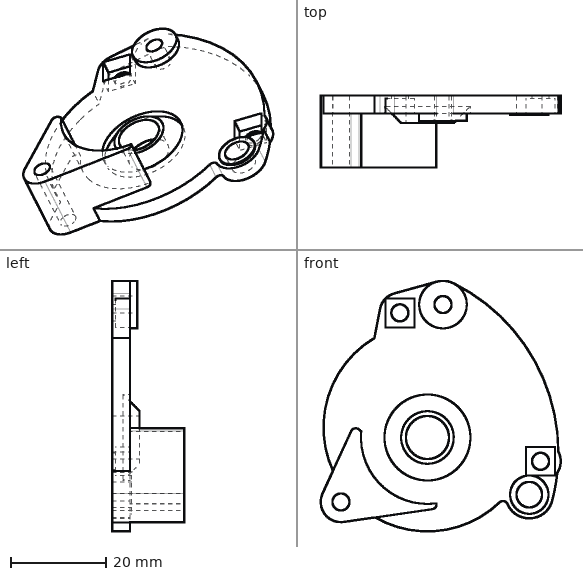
import cadquery as cq
import math


plate_thickness = 3.8
body_center = (0, 2.1)
body_radius = 21.8
sweep_radius = 39.65
lobe_radius = 5.0
notch_fillet = 1.0

upper_boss = (3.25, 27.85)
upper_boss_height = 1.5
lower_boss = (21.3, -11.95)
lower_ring_diameter = 8.05
lower_ring_height = 0.3
lower_hole_diameter = 5.3
screw_diameter = 3.5

upper_nut = (-5.8, 26.1)
right_nut = (23.7, -5.0)
nut_lobe_radius = 4.25
nut_size = 6.05
nut_floor = 0.7
tab_side_angle = 169.0

hub_base_diameter = 18.0
hub_top_diameter = 11.05
hub_bore = 9.0
hub_height = 2.0
hub_slope_height = (hub_base_diameter - hub_top_diameter) / 2
hub_base = plate_thickness + hub_height - hub_slope_height

arm_length = 15.1
arm_pivot = (-18.1, -13.5)
arm_pivot_radius = 4.25
arm_upper_tip = (-15.0, 0.9)
arm_upper_tip_radius = 1.05
arm_lower_tip = (0.9, -14.0)
arm_lower_tip_radius = 1.0
arm_inner_radius = 13.9


def disk(center, radius, depth, start=0):
    return cq.Workplane("XZ", origin=(0, -start, 0)).center(*center).circle(radius).extrude(depth)


def offset_point(center, distance, angle):
    return (center[0] + distance * math.cos(angle), center[1] + distance * math.sin(angle))


def left_tangent(start, start_radius, end, end_radius):
    """Touch points of the line that keeps both circles on its right, going from start to end."""
    dx = end[0] - start[0]
    dz = end[1] - start[1]
    normal = math.atan2(dz, dx) + math.acos((start_radius - end_radius) / math.hypot(dx, dz))
    return offset_point(start, start_radius, normal), offset_point(end, end_radius, normal)


def polygon(points, depth):
    return cq.Workplane("XZ").polyline(points).close().extrude(depth)


def sweep_center():
    """Center of the large arc, at equal distance from both bosses on the body's side."""
    dx = lower_boss[0] - upper_boss[0]
    dz = lower_boss[1] - upper_boss[1]
    half_span = math.hypot(dx, dz) / 2
    middle = ((upper_boss[0] + lower_boss[0]) / 2, (upper_boss[1] + lower_boss[1]) / 2)
    setback = math.sqrt((sweep_radius - lobe_radius) ** 2 - half_span**2)
    return offset_point(middle, setback, math.atan2(dz, dx) - math.pi / 2)


def swept_side():
    """Right side of the plate, bounded by the large arc between the two bosses."""
    center = sweep_center()
    upper_angle = math.atan2(upper_boss[1] - center[1], upper_boss[0] - center[0])
    lower_angle = math.atan2(lower_boss[1] - center[1], lower_boss[0] - center[0])
    start, middle, end = [
        offset_point(center, sweep_radius, angle)
        for angle in (upper_angle, (upper_angle + lower_angle) / 2, lower_angle)
    ]
    outline = cq.Workplane("XZ").moveTo(*start).threePointArc(middle, end)
    outline = outline.lineTo(*lower_boss).lineTo(*body_center).lineTo(*upper_boss).close()
    return outline.extrude(plate_thickness)


def nut_tab():
    """Upper left tab that joins the nut lobe to the upper boss and the body."""
    top_left, top_right = left_tangent(upper_nut, nut_lobe_radius, upper_boss, lobe_radius)
    side_angle = math.radians(tab_side_angle)
    side_top = offset_point(upper_nut, nut_lobe_radius, side_angle)
    side_bottom = offset_point(side_top, body_radius / 2, side_angle + math.pi / 2)
    return polygon(
        [side_bottom, side_top, upper_nut, top_left, top_right, upper_boss, body_center], plate_thickness
    )


def plate():
    solid = disk(body_center, body_radius, plate_thickness).union(swept_side())
    for boss in (upper_boss, lower_boss):
        solid = solid.union(disk(boss, lobe_radius, plate_thickness))
    dx = lower_boss[0] - body_center[0]
    dz = lower_boss[1] - body_center[1]
    span = math.hypot(dx, dz)
    along = (span**2 + body_radius**2 - lobe_radius**2) / (2 * span)
    notch_angle = math.atan2(dz, dx) - math.acos(along / body_radius)
    notch = offset_point(body_center, body_radius, notch_angle)
    notch_edge = cq.selectors.NearestToPointSelector((notch[0], -plate_thickness / 2, notch[1]))
    solid = solid.edges("|Y").edges(notch_edge).fillet(notch_fillet)
    for nut in (upper_nut, right_nut):
        solid = solid.union(disk(nut, nut_lobe_radius, plate_thickness))
    return solid.union(nut_tab())


def arm():
    """Triangular arm with rounded corners and an inner side concentric with the hub."""
    corners = [
        (arm_pivot, arm_pivot_radius),
        (arm_upper_tip, arm_upper_tip_radius),
        (arm_lower_tip, arm_lower_tip_radius),
    ]
    outline = []
    for index, corner in enumerate(corners):
        following = corners[(index + 1) % len(corners)]
        outline.extend(left_tangent(*corner, *following))
    solid = polygon(outline, arm_length)
    for center, radius in corners:
        solid = solid.union(disk(center, radius, arm_length))
    return solid.cut(disk((0, 0), arm_inner_radius, arm_length))


def hub_cone():
    cone = cq.Solid.makeCone(
        hub_base_diameter / 2,
        hub_top_diameter / 2,
        hub_slope_height,
        pnt=cq.Vector(0, -hub_base, 0),
        dir=cq.Vector(0, -1, 0),
    )
    return cq.Workplane(obj=cone)


hub_groove = disk((0, 0), hub_base_diameter / 2, plate_thickness, hub_base)
result = plate().cut(hub_groove).union(hub_cone())
result = result.union(arm())

result = result.union(disk(upper_boss, lobe_radius, plate_thickness + upper_boss_height))
result = result.union(disk(lower_boss, lower_ring_diameter / 2, plate_thickness + lower_ring_height))

for nut in (upper_nut, right_nut):
    pocket = cq.Workplane("XZ", origin=(0, -nut_floor, 0)).center(*nut).rect(nut_size, nut_size)
    result = result.cut(pocket.extrude(plate_thickness - nut_floor))

for center in (upper_boss, upper_nut, right_nut, arm_pivot):
    result = result.cut(disk(center, screw_diameter / 2, arm_length))
result = result.cut(disk(lower_boss, lower_hole_diameter / 2, arm_length))
result = result.cut(disk((0, 0), hub_bore / 2, arm_length))